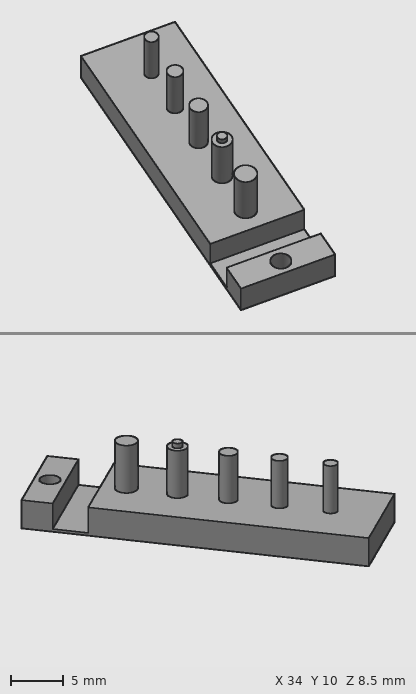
import cadquery as cq

length = 34.05
width = 10.0
base_height = 3.0

slot_start = 27.52
end_block_length = 3.05
slot_floor = 0.3
slot_end = length - end_block_length

hole_diameter = 2.0
hole_x = length - end_block_length / 2

pin_pitch = 5.0
pin_height = 5.0
smallest_pin_diameter = 1.4
pin_diameter_step = 0.2
pin_count = 5

total_height = 8.5
tip_diameter = 1.0
tipped_pin = 4


def vertical_cylinder(x, bottom, top, diameter):
    """Cylinder on the bar's centre line, from bottom to top in Z."""
    return cq.Workplane("XY", origin=(x, 0, bottom)).circle(diameter / 2).extrude(top - bottom)


def make_base():
    """Slotted bar, extruded from its side profile."""
    profile = [
        (0, 0),
        (length, 0),
        (length, base_height),
        (slot_end, base_height),
        (slot_end, slot_floor),
        (slot_start, slot_floor),
        (slot_start, base_height),
        (0, base_height),
    ]
    bar = cq.Workplane("XZ").polyline(profile).close().extrude(width / 2, both=True)
    return bar.cut(vertical_cylinder(hole_x, 0, base_height, hole_diameter))


def add_pins(body):
    """Row of plain pins standing on the bar, one of them with a tip."""
    pin_top = base_height + pin_height
    for number in range(1, pin_count + 1):
        diameter = smallest_pin_diameter + (number - 1) * pin_diameter_step
        body = body.union(vertical_cylinder(number * pin_pitch, base_height, pin_top, diameter))
    tip = vertical_cylinder(tipped_pin * pin_pitch, pin_top, total_height, tip_diameter)
    return body.union(tip)


result = add_pins(make_base())